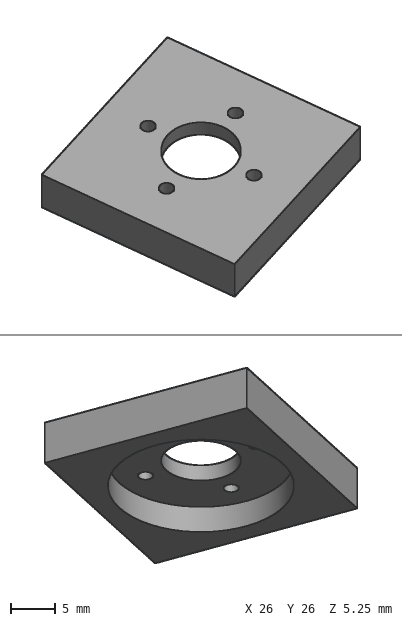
import cadquery as cq

side = 26.0
thickness = 5.25

recess_diameter = 21.0
web_thickness = 2.0
recess_depth = thickness - web_thickness

bore_diameter = 9.0
screw_hole_diameter = 1.75
screw_circle_diameter = 14.25
screw_count = 4

plate = cq.Workplane("XY").box(side, side, thickness, centered=(True, True, False))

recess = cq.Workplane("XY").circle(recess_diameter / 2).extrude(recess_depth)

bore = cq.Workplane("XY").circle(bore_diameter / 2).extrude(thickness)

screw_holes = (
    cq.Workplane("XY")
    .polarArray(screw_circle_diameter / 2, 0, 360, screw_count)
    .circle(screw_hole_diameter / 2)
    .extrude(thickness)
)

result = plate.cut(recess).cut(bore).cut(screw_holes)